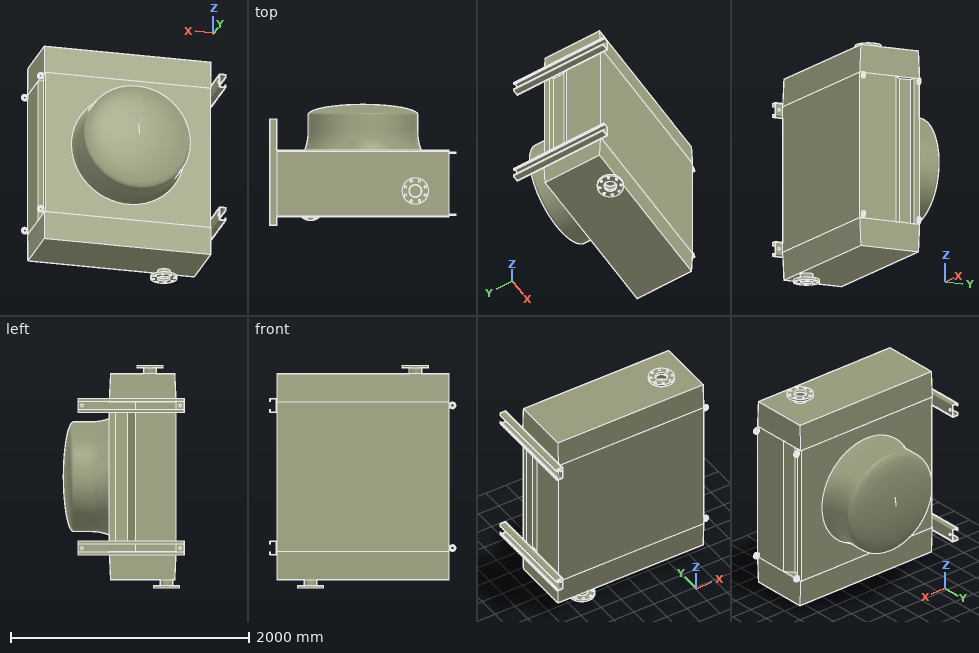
import cadquery as cq
BLOCK_WIDTH = 1445.0
BLOCK_DEPTH = 563.0
CORE_HEIGHT = 1253.0
TANK_HEIGHT = 240.0
TANK_TAPER = 11.0
OVERALL_HEIGHT = 1870.0

RECESS_DEPTH = 67.0
RECESS_SLOPE_START_Y = 340.0
RECESS_END_Y = 510.0
BACK_STRIP_INSET = 5.0

HOOD_RADIUS = 462.0
HOOD_BASE_RADIUS = 490.0
FLARE_LENGTH = 148.0
HOOD_STRAIGHT_LENGTH = 150.0
DOME_HEIGHT = 88.0

PIPE_OFFSET_X = 440.0
TOP_PIPE_Y = 220.0
BOTTOM_PIPE_Y = 82.0
PIPE_DIAMETER = 108.0
PIPE_BORE = 100.0
FLANGE_DIAMETER = 220.0
FLANGE_BORE = 105.0
FLANGE_THICKNESS = 20.0
BOLT_CIRCLE = 180.0
BOLT_HOLE = 19.0
BOLT_COUNT = 8

MOUNT_Z = 598.0
RAIL_DEPTH = 60.0
RAIL_HEIGHT = 120.0
RAIL_THICKNESS = 5.0
RAIL_LIP = 26.0
RAIL_CORNER_RADIUS = 7.0
RAIL_START_Y = -67.0
RAIL_END_Y = 825.0
RAIL_HOLE = 19.0
RAIL_HOLE_INSET = 34.0

RING_DIAMETER = 56.0
RING_HOLE = 30.0
RING_THICKNESS = 11.0
RING_INSET_Y = 20.0

HALF_WIDTH = BLOCK_WIDTH / 2
HALF_CORE = CORE_HEIGHT / 2
TANK_END_Z = HALF_CORE + TANK_HEIGHT
PIPE_LENGTH = OVERALL_HEIGHT / 2 - TANK_END_Z


def make_hood():
    """Solid of revolution about Y: flared base, straight band and elliptical dome."""
    straight_start = BLOCK_DEPTH + FLARE_LENGTH
    dome_start = straight_start + HOOD_STRAIGHT_LENGTH
    dome_top = dome_start + DOME_HEIGHT
    profile = (
        cq.Workplane("YZ")
        .moveTo(dome_start, HOOD_RADIUS)
        .lineTo(straight_start, HOOD_RADIUS)
        .tangentArcPoint((BLOCK_DEPTH, HOOD_BASE_RADIUS), relative=False)
        .lineTo(BLOCK_DEPTH, 0)
        .lineTo(dome_top, 0)
        .ellipseArc(DOME_HEIGHT, HOOD_RADIUS, 0, 90, startAtCurrent=True)
        .close()
    )
    return profile.revolve(360, (0, 0, 0), (1, 0, 0))


def make_core():
    """Core block with a recess along both sides and the fan hood on its back."""
    floor_x = HALF_WIDTH - RECESS_DEPTH
    strip_x = HALF_WIDTH - BACK_STRIP_INSET
    right_side = [
        (HALF_WIDTH, 0),
        (HALF_WIDTH, RECESS_SLOPE_START_Y),
        (floor_x, RECESS_SLOPE_START_Y + RECESS_DEPTH),
        (floor_x, RECESS_END_Y),
        (strip_x, RECESS_END_Y),
        (strip_x, BLOCK_DEPTH),
    ]
    left_side = [(-x, y) for x, y in reversed(right_side)]
    block = (
        cq.Workplane("XY", origin=(0, 0, -HALF_CORE))
        .polyline(right_side + left_side)
        .close()
        .extrude(CORE_HEIGHT)
    )
    return block.union(make_hood())


def make_tank(side, pipe_y):
    """Tapered tank with its flanged pipe; side is +1 for the top tank, -1 for the bottom one."""
    tank = (
        cq.Workplane("YZ", origin=(-HALF_WIDTH, 0, 0))
        .polyline([
            (0, side * HALF_CORE),
            (BLOCK_DEPTH, side * HALF_CORE),
            (BLOCK_DEPTH - TANK_TAPER, side * TANK_END_Z),
            (TANK_TAPER, side * TANK_END_Z),
        ])
        .close()
        .extrude(BLOCK_WIDTH)
    )
    pipe_base = cq.Workplane(
        cq.Plane(origin=(side * PIPE_OFFSET_X, pipe_y, side * TANK_END_Z), xDir=(0, -1, 0), normal=(0, 0, side))
    )
    flange_base = pipe_base.workplane(offset=PIPE_LENGTH - FLANGE_THICKNESS)
    pipe = (
        pipe_base.circle(PIPE_DIAMETER / 2)
        .circle(PIPE_BORE / 2)
        .extrude(PIPE_LENGTH - FLANGE_THICKNESS)
    )
    flange = (
        flange_base.circle(FLANGE_DIAMETER / 2)
        .circle(FLANGE_BORE / 2)
        .extrude(FLANGE_THICKNESS)
    )
    bolt_holes = (
        flange_base.polarArray(BOLT_CIRCLE / 2, 180 / BOLT_COUNT, 360, BOLT_COUNT)
        .circle(BOLT_HOLE / 2)
        .extrude(FLANGE_THICKNESS)
    )
    return tank.union(pipe).union(flange.cut(bolt_holes))


def make_rail(z):
    """Lipped channel along Y, its web against the block and its open side towards -X."""
    length = RAIL_END_Y - RAIL_START_Y
    center_x = -HALF_WIDTH - RAIL_DEPTH / 2
    section = cq.Workplane("XZ", origin=(center_x, RAIL_END_Y, z))
    outer = section.rect(RAIL_DEPTH, RAIL_HEIGHT).extrude(length)
    outer = outer.edges("|Y").fillet(RAIL_CORNER_RADIUS)
    inner = section.rect(RAIL_DEPTH - 2 * RAIL_THICKNESS, RAIL_HEIGHT - 2 * RAIL_THICKNESS).extrude(length)
    inner = inner.edges("|Y").fillet(RAIL_CORNER_RADIUS - RAIL_THICKNESS)
    opening = section.center(-RAIL_DEPTH / 2, 0).rect(RAIL_DEPTH, RAIL_HEIGHT - 2 * RAIL_LIP).extrude(length)
    holes = (
        cq.Workplane("YZ", origin=(-HALF_WIDTH - RAIL_DEPTH, 0, z))
        .pushPoints([(RAIL_START_Y + RAIL_HOLE_INSET, 0), (RAIL_END_Y - RAIL_HOLE_INSET, 0)])
        .circle(RAIL_HOLE / 2)
        .extrude(RAIL_DEPTH)
    )
    return outer.cut(inner).cut(opening).cut(holes)


def make_ring(y, z):
    """Flat ring standing in the XZ plane, touching the +X side of the block."""
    return (
        cq.Workplane("XZ", origin=(HALF_WIDTH + RING_DIAMETER / 2, y + RING_THICKNESS / 2, z))
        .circle(RING_DIAMETER / 2)
        .circle(RING_HOLE / 2)
        .extrude(RING_THICKNESS)
    )


core = make_core()
top_tank = make_tank(1, TOP_PIPE_Y)
bottom_tank = make_tank(-1, BOTTOM_PIPE_Y)
rails = [make_rail(z) for z in (-MOUNT_Z, MOUNT_Z)]
rings = [
    make_ring(y, z)
    for y in (RING_INSET_Y, BLOCK_DEPTH - RING_INSET_Y)
    for z in (-MOUNT_Z, MOUNT_Z)
]

result = cq.Compound.makeCompound(
    [part.val() for part in [core, top_tank, bottom_tank, *rails, *rings]]
)